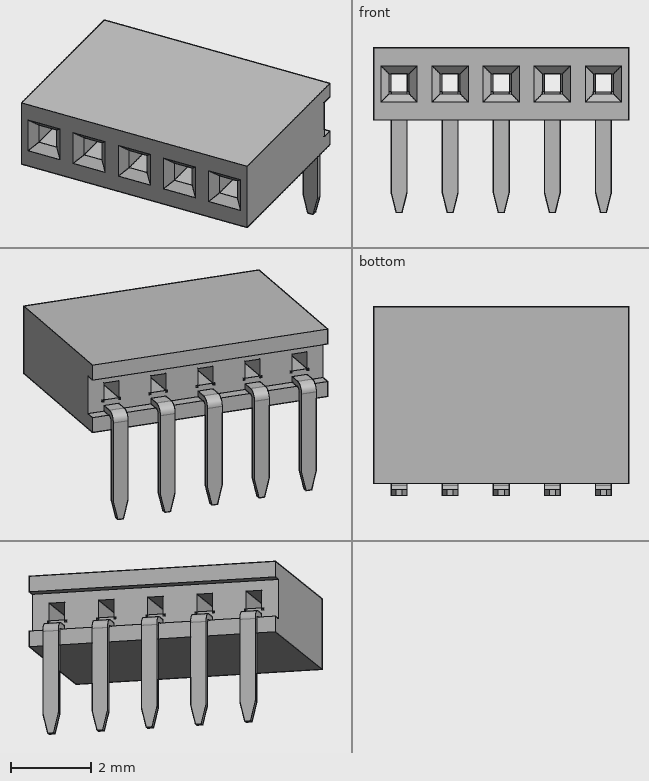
import cadquery as cq

contact_count = 5
pitch = 1.27

housing_width = contact_count * pitch
housing_depth = 4.4
housing_height = 1.8

groove_depth = 0.3
groove_lip = 0.4
groove_height = housing_height - 2 * groove_lip

lead_in_size = 0.9
socket_size = 0.5
lead_in_length = 0.2

rib_height = 0.05
rib_start_depth = 1.0
rib_ramp_length = 0.12

pin_width = 0.4
pin_thickness = 0.15
pin_overhang = 0.3
pin_drop = 2.3
bend_outer_radius = 0.25
bend_inner_radius = bend_outer_radius - pin_thickness
tip_width = 0.15
tip_length = 0.5

front_y = -housing_depth
groove_wall_y = -groove_depth
socket_centre_z = housing_height / 2
socket_floor_z = socket_centre_z - socket_size / 2
rib_start_y = front_y + rib_start_depth
rib_crest_y = rib_start_y + rib_ramp_length
pin_under_z = groove_lip
pin_top_z = pin_under_z + pin_thickness
contact_xs = [(i - (contact_count - 1) / 2) * pitch for i in range(contact_count)]


def make_socket_cutter(x):
    """Through square hole with a pyramidal lead-in at the front face."""
    front_plane = cq.Plane(
        origin=(x, front_y, socket_centre_z), xDir=(1, 0, 0), normal=(0, -1, 0)
    )
    hole = cq.Workplane(front_plane).rect(socket_size, socket_size).extrude(-housing_depth)
    lead_in = (
        cq.Workplane(front_plane)
        .rect(lead_in_size, lead_in_size)
        .workplane(offset=-lead_in_length)
        .rect(socket_size, socket_size)
        .loft(ruled=True)
    )
    return hole.union(lead_in)


def make_socket_ribs(x):
    """Three shallow ribs that ramp up from the socket walls and run on to the groove wall."""
    wall_x = socket_size / 2
    rib_crest_x = wall_x - rib_height
    rib_crest_z = socket_floor_z + rib_height
    right_rib = (
        cq.Workplane("XY", origin=(0, 0, rib_crest_z))
        .moveTo(wall_x, rib_start_y)
        .lineTo(wall_x, groove_wall_y)
        .lineTo(rib_crest_x, groove_wall_y)
        .lineTo(rib_crest_x, rib_crest_y)
        .close()
        .extrude(socket_size - rib_height)
    )
    floor_rib = (
        cq.Workplane("YZ")
        .moveTo(rib_start_y, socket_floor_z)
        .lineTo(groove_wall_y, socket_floor_z)
        .lineTo(groove_wall_y, rib_crest_z)
        .lineTo(rib_crest_y, rib_crest_z)
        .close()
        .extrude(rib_crest_x, both=True)
    )
    ribs = [right_rib, right_rib.mirror("YZ"), floor_rib]
    return [rib.translate((x, 0, 0)) for rib in ribs]


def make_housing():
    """Rectangular block with a grooved back and a row of ribbed through sockets."""
    body = cq.Workplane("XY").box(
        housing_width, housing_depth, housing_height, centered=(True, False, False)
    ).translate((0, front_y, 0))
    groove = cq.Workplane("XY").box(
        housing_width, groove_depth, groove_height, centered=(True, False, False)
    ).translate((0, groove_wall_y, groove_lip))
    body = body.cut(groove)
    for x in contact_xs:
        body = body.cut(make_socket_cutter(x))
        for rib in make_socket_ribs(x):
            body = body.union(rib)
    return body


def make_pin(x):
    """Flat strip leaving the groove, bent straight down to a tapered tip."""
    half_width = pin_width / 2
    outer_y = pin_overhang
    inner_y = outer_y - pin_thickness
    bend_y = outer_y - bend_outer_radius
    bend_z = pin_top_z - bend_outer_radius
    strip = (
        cq.Workplane("YZ")
        .moveTo(groove_wall_y, pin_under_z)
        .lineTo(bend_y, pin_under_z)
        .radiusArc((inner_y, bend_z), bend_inner_radius)
        .lineTo(inner_y, -pin_drop)
        .lineTo(outer_y, -pin_drop)
        .lineTo(outer_y, bend_z)
        .radiusArc((bend_y, pin_top_z), -bend_outer_radius)
        .lineTo(groove_wall_y, pin_top_z)
        .close()
        .extrude(half_width, both=True)
    )
    half_tip = tip_width / 2
    shoulder_z = tip_length - pin_drop
    outline = (
        cq.Workplane("XZ", origin=(0, groove_wall_y, 0))
        .moveTo(-half_width, pin_top_z)
        .lineTo(-half_width, shoulder_z)
        .lineTo(-half_tip, -pin_drop)
        .lineTo(half_tip, -pin_drop)
        .lineTo(half_width, shoulder_z)
        .lineTo(half_width, pin_top_z)
        .close()
        .extrude(-(outer_y - groove_wall_y))
    )
    return strip.intersect(outline).translate((x, 0, 0))


housing = make_housing()
pins = [make_pin(x) for x in contact_xs]

result = cq.Compound.makeCompound([housing.val(), *[pin.val() for pin in pins]])